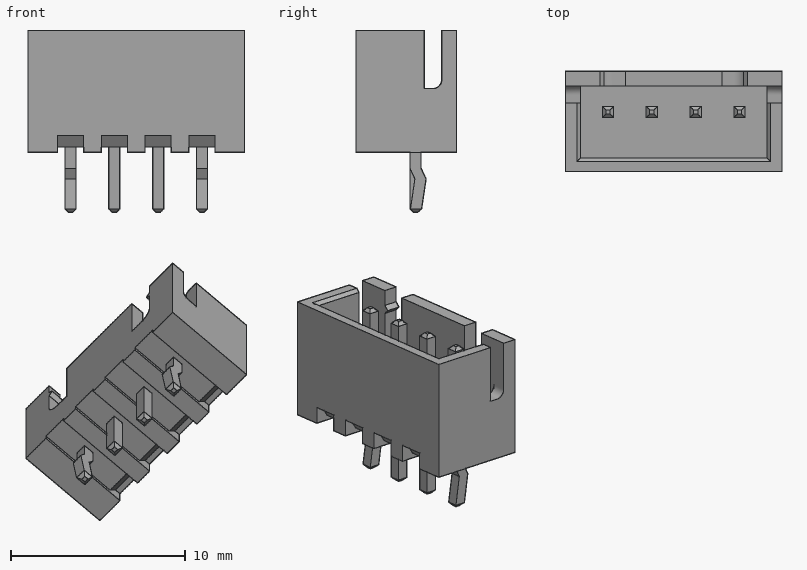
import cadquery as cq


length = 12.4
depth = 5.75
height = 6.98
total_height = 10.4
side_wall = 0.85
back_wall = 0.85
front_wall = 0.77
floor_thickness = 2.0
rim_chamfer = 0.2

side_slot_width = 0.98
side_slot_depth = 3.32
side_slot_radius = 0.5
post_width = 1.97
back_slot_width = 1.48
back_slot_depth = 3.93
back_slot_radius = 0.75

ridge_height = 0.25
ridge_peak_below_rim = 1.17

pin_count = 4
pin_pitch = 2.5
pin_size = 0.65
pin_taper = 0.2
pin_top = 6.47
pin_tail = total_height - height
pin_to_back = 2.34

kink_start = 0.9
kink_peak = 1.51
kink_offset = 0.29

notch_width = 1.49
notch_front_height = 0.98
notch_height = 0.3
notch_slope_depth = 0.42

pin_y = depth - pin_to_back
back_wall_y = depth - back_wall
pin_xs = [(i - (pin_count - 1) / 2) * pin_pitch for i in range(pin_count)]


def box(x_min, x_max, y_min, y_max, z_min, z_max):
    """Axis-aligned block between the given limits."""
    block = cq.Workplane("XY").box(x_max - x_min, y_max - y_min, z_max - z_min, centered=False)
    return block.translate((x_min, y_min, z_min))


def extrude_along_x(points, x_center, width):
    """Prism of a closed (y, z) outline, centred on x_center."""
    outline = cq.Workplane("YZ", origin=(x_center, 0, 0)).polyline(points).close()
    return outline.extrude(width / 2, both=True)


def cavity():
    """Open-topped pocket with a chamfered rim at the front and the sides."""
    inner_x = length / 2 - side_wall
    pocket = box(-inner_x, inner_x, front_wall, back_wall_y, floor_thickness, height)
    chamfer_z = height - rim_chamfer
    front_flare = extrude_along_x(
        [
            (front_wall, chamfer_z),
            (back_wall_y, chamfer_z),
            (back_wall_y, height),
            (front_wall - rim_chamfer, height),
        ],
        0,
        length,
    )
    side_flare = (
        cq.Workplane("XZ")
        .polyline(
            [
                (-inner_x, chamfer_z),
                (inner_x, chamfer_z),
                (inner_x + rim_chamfer, height),
                (-inner_x - rim_chamfer, height),
            ]
        )
        .close()
        .extrude(-depth)
    )
    flare = front_flare.intersect(side_flare)
    return pocket.union(flare)


def side_slots():
    """Slot through both side walls, rounded at the foot of the posts."""
    slot = box(
        -length / 2, length / 2,
        back_wall_y - side_slot_width, back_wall_y,
        height - side_slot_depth, height,
    )
    return slot.edges("|X and >Y and <Z").fillet(side_slot_radius)


def back_slot():
    """Slot through the back wall beside the -X post, with the latch ridge left standing."""
    post_x = post_width - length / 2
    slot = box(
        post_x, post_x + back_slot_width,
        back_wall_y, depth,
        height - back_slot_depth, height,
    )
    slot = slot.edges("|Y and <X and <Z").fillet(back_slot_radius)
    peak_z = height - ridge_peak_below_rim
    ridge = (
        cq.Workplane("XZ", origin=(0, depth, 0))
        .moveTo(post_x, peak_z + ridge_height)
        .lineTo(post_x + ridge_height, peak_z)
        .lineTo(post_x, peak_z - ridge_height)
        .close()
        .extrude(back_wall)
    )
    return slot.cut(ridge)


def notch(x_center):
    """Underside notch running front to back, its roof stepping up by a slope under the front wall."""
    points = [
        (0, 0),
        (depth, 0),
        (depth, notch_height),
        (front_wall, notch_height),
        (front_wall - notch_slope_depth, notch_front_height),
        (0, notch_front_height),
    ]
    return extrude_along_x(points, x_center, notch_width)


def pin(x_center, kinked):
    """Square pin with tapered ends; a kinked tail bows towards the back and returns."""
    front_y = pin_y - pin_size / 2
    front_edge = [(front_y, pin_top)]
    if kinked:
        front_edge.append((front_y, -kink_start))
        front_edge.append((front_y + kink_offset, -kink_peak))
    front_edge.append((front_y, -pin_tail))
    back_edge = [(y + pin_size, z) for y, z in reversed(front_edge)]
    shaft = extrude_along_x(front_edge + back_edge, x_center, pin_size)
    return shaft.faces("<Z or >Z").chamfer(pin_taper)


housing = box(-length / 2, length / 2, 0, depth, 0, height)
housing = housing.cut(cavity()).cut(side_slots())
housing = housing.cut(back_slot()).cut(back_slot().mirror("YZ"))
for x in pin_xs:
    housing = housing.cut(notch(x))

result = housing
for x in pin_xs:
    is_end_pin = x in (pin_xs[0], pin_xs[-1])
    result = result.union(pin(x, is_end_pin))